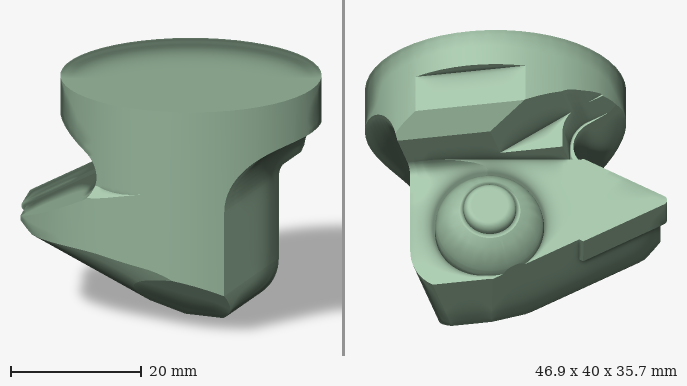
import cadquery as cq
import math

HEAD_DIAMETER = 40.0
HEAD_HEIGHT = 35.65
HEAD_RADIUS = HEAD_DIAMETER / 2
BIG = 2 * HEAD_DIAMETER

SKEW_ANGLE = 12.5
HALF_NOSE_ANGLE = 27.5
INSERT_HALF_LENGTH = 13.75
INSERT_HALF_HEIGHT = INSERT_HALF_LENGTH * math.tan(math.radians(HALF_NOSE_ANGLE))
INSERT_THICKNESS = 6.5
NOSE_RADIUS = 0.8
NOSE_APEX_U = -27.15
NOSE_Z = -21.95
RAKE_N = -5.9
SEAT_N = RAKE_N + INSERT_THICKNESS

WEDGE_SETBACK = 1.25
WEDGE_APEX_U = NOSE_APEX_U + WEDGE_SETBACK
WEDGE_LAND = 0.65

BULGE_RADIUS = 23.45
BULGE_CENTER_X = -5.85
BULGE_TOP_Z = -13.55
BULGE_END_X = -23.8
SHOULDER_END_X = -7.95

GROOVE_RADIUS = 8.0 / 2
GROOVE_U = -15.9

BACK_X = 12.05
BACK_FILLET = 9.3
BACK_FILLET_Z = -16.08
TOE_RADIUS = 7.2
TOE_START_X = 8.55

CHIP_WALL_Y = 6.05
CHIP_ROOF_Z = -14.95
CHIP_FILLET = 1.7
FLANGE_Y = 18.05
FLANGE_Z = -5.9
ROOF_CHAMFER = 3.15

THROAT_Y = 2.35
THROAT_X = -12.2
THROAT_ROOF_X = -15.45
THROAT_ROOF_Z = -8.05
THROAT_SLOPE = 0.4
THROAT_ARC_END_Z = -11.85
THROAT_ARC_MIDDLE = (-13.12, -9.6)
SLOPE_START_Y = 7.75
SLOPE_EDGE_X = -18.5
SLOPE_EDGE_Z = -6.55

BEVEL_Y = -7.75
BEVEL_SLOPE = 0.747

FLANK_START = (10.12, 31.55)
FLANK_MIDDLE = (18.35, 25.9)
FLANK_FINISH = (20.6, 22.5)

CLAMP_U = 0.95
CLAMP_Z = -26.7
CLAMP_RADIUS = 8.35
CLAMP_SHOULDER_RADIUS = 4.7
CLAMP_SHOULDER = 5.4
CLAMP_ROOT = 3.75
BUTTON_RADIUS = 8.0 / 2
BUTTON_HEIGHT = 1.87
BUTTON_ROUND = 1.15
CLAMP_DOME_POINT = (7.5, 2.8)

skew = math.radians(SKEW_ANGLE)
nose = math.radians(HALF_NOSE_ANGLE)
U_AXIS = cq.Vector(math.cos(skew), math.sin(skew), 0)
N_AXIS = cq.Vector(math.sin(skew), -math.cos(skew), 0)


def insert_plane(n):
    """Plane at depth n, with local X along U and local Y along Z."""
    return cq.Workplane(cq.Plane(N_AXIS * n, U_AXIS, N_AXIS))


def make_insert():
    """Rhombic indexable insert."""
    center_u = NOSE_APEX_U + INSERT_HALF_LENGTH
    outline = [
        (NOSE_APEX_U, NOSE_Z),
        (center_u, NOSE_Z - INSERT_HALF_HEIGHT),
        (center_u + INSERT_HALF_LENGTH, NOSE_Z),
        (center_u, NOSE_Z + INSERT_HALF_HEIGHT),
    ]
    blank = insert_plane(RAKE_N).polyline(outline).close().extrude(INSERT_THICKNESS)
    nose_edge = cq.selectors.NearestToPointSelector(
        (U_AXIS * NOSE_APEX_U + N_AXIS * ((RAKE_N + SEAT_N) / 2) + cq.Vector(0, 0, NOSE_Z)).toTuple()
    )
    return blank.edges(nose_edge).fillet(NOSE_RADIUS)


def shoulder_cutter():
    """45 degree slope falling outward from the top of the bulge, over a chord of the shank."""
    chord_y = -math.sqrt(HEAD_RADIUS**2 - SHOULDER_END_X**2)
    root = cq.Vector(0, -HEAD_RADIUS, BULGE_TOP_Z)
    chord = cq.Vector(SHOULDER_END_X, chord_y + HEAD_RADIUS, 0).normalized()
    outward = chord.cross(cq.Vector(0, 0, 1)) * -1
    return (
        cq.Workplane(cq.Plane(root - chord * BIG, outward, chord))
        .polyline([(0, 0), (BIG, BIG), (BIG, -BIG)])
        .close().extrude(2 * BIG)
    )


def make_blank():
    """Shank cylinder with the side bulge."""
    shank = cq.Workplane("XY").circle(HEAD_RADIUS).extrude(-HEAD_HEIGHT)
    arc_center_y = BULGE_RADIUS - HEAD_RADIUS
    end_y = arc_center_y - math.sqrt(BULGE_RADIUS**2 - (BULGE_END_X - BULGE_CENTER_X)**2)
    mid = math.asin((BULGE_CENTER_X - BULGE_END_X) / BULGE_RADIUS) / 2
    arc_mid = (BULGE_CENTER_X - BULGE_RADIUS * math.sin(mid), arc_center_y - BULGE_RADIUS * math.cos(mid))
    rake_end_n = RAKE_N * N_AXIS.y
    run = (rake_end_n - end_y) / math.cos(skew)
    tip_x = BULGE_END_X - run * math.sin(skew)
    bulge = (
        cq.Workplane("XY").workplane(offset=-HEAD_HEIGHT)
        .moveTo(0, -HEAD_RADIUS)
        .lineTo(BULGE_CENTER_X, -HEAD_RADIUS)
        .threePointArc(arc_mid, (BULGE_END_X, end_y))
        .lineTo(tip_x, rake_end_n)
        .lineTo(0, rake_end_n)
        .close().extrude(HEAD_HEIGHT + BULGE_TOP_Z)
    )
    return shank.union(bulge.cut(shoulder_cutter()))


def wedge_cutters():
    """Space below the lower wedge face and the groove above the upper one."""
    slope = math.tan(nose)
    below = (
        insert_plane(-BIG)
        .polyline([(-BIG, NOSE_Z), (WEDGE_APEX_U, NOSE_Z), (BIG, NOSE_Z - slope * (BIG - WEDGE_APEX_U)),
                   (-BIG, NOSE_Z - slope * (BIG - WEDGE_APEX_U))])
        .close().extrude(2 * BIG)
    )
    sin, cos = math.sin(nose), math.cos(nose)
    groove_z = NOSE_Z + slope * (GROOVE_U - WEDGE_APEX_U) + GROOVE_RADIUS / cos
    roof = (GROOVE_U + GROOVE_RADIUS * sin, groove_z + GROOVE_RADIUS * cos)
    roof_far = (-BIG, roof[1] + slope * (BIG + roof[0]))
    lip = (GROOVE_U + GROOVE_RADIUS * sin, groove_z - GROOVE_RADIUS * cos)
    above = (
        insert_plane(-BIG)
        .moveTo(-BIG, NOSE_Z).lineTo(WEDGE_APEX_U, NOSE_Z).lineTo(*lip)
        .threePointArc((GROOVE_U + GROOVE_RADIUS, groove_z), roof)
        .lineTo(*roof_far).close().extrude(2 * BIG)
    )
    tip_u = WEDGE_APEX_U + WEDGE_LAND / 2 / slope
    tip = insert_plane(-BIG).center(tip_u - BIG / 2, NOSE_Z).rect(BIG, 2 * WEDGE_LAND).extrude(2 * BIG)
    return below, above, tip


def back_cutter():
    """Relief on +X with a filleted root and a rounded toe."""
    drop = math.sqrt(TOE_RADIUS**2 - (TOE_START_X - BACK_X + TOE_RADIUS)**2)
    toe_z = -HEAD_HEIGHT + drop
    diagonal = math.atan2(drop, TOE_START_X - BACK_X + TOE_RADIUS) / 2
    toe_mid = (BACK_X - TOE_RADIUS * (1 - math.cos(diagonal)), toe_z - TOE_RADIUS * math.sin(diagonal))
    return (
        cq.Workplane("XZ").workplane(offset=-BIG)
        .moveTo(TOE_START_X, -HEAD_HEIGHT)
        .threePointArc(toe_mid, (BACK_X, toe_z))
        .lineTo(BACK_X, BACK_FILLET_Z)
        .radiusArc((BACK_X + BACK_FILLET, BACK_FILLET_Z + BACK_FILLET), BACK_FILLET)
        .lineTo(BIG, BACK_FILLET_Z + BACK_FILLET).lineTo(BIG, -HEAD_HEIGHT)
        .close().extrude(2 * BIG)
    )


def chip_space_cutters():
    """Stepped opening on +Y, and the space in front of the rake face."""
    opening = (
        cq.Workplane("YZ").workplane(offset=-BIG)
        .moveTo(CHIP_WALL_Y, -BIG).lineTo(CHIP_WALL_Y, CHIP_ROOF_Z - CHIP_FILLET)
        .radiusArc((CHIP_WALL_Y + CHIP_FILLET, CHIP_ROOF_Z), CHIP_FILLET)
        .lineTo(FLANGE_Y - ROOF_CHAMFER, CHIP_ROOF_Z)
        .lineTo(FLANGE_Y, CHIP_ROOF_Z + ROOF_CHAMFER)
        .lineTo(FLANGE_Y, FLANGE_Z).lineTo(BIG, FLANGE_Z).lineTo(BIG, -BIG)
        .close().extrude(2 * BIG)
    )
    rake = insert_plane(RAKE_N - BIG).center(0, CHIP_ROOF_Z - BIG / 2).rect(2 * BIG, BIG).extrude(BIG)
    return opening, rake


def chip_throat_cutter():
    """Deeper rounded throat where the groove opens into the chip space."""
    return (
        cq.Workplane("XZ").workplane(offset=-BIG)
        .moveTo(-BIG, THROAT_ROOF_Z + THROAT_SLOPE * (BIG + THROAT_ROOF_X))
        .lineTo(THROAT_ROOF_X, THROAT_ROOF_Z)
        .threePointArc(THROAT_ARC_MIDDLE, (THROAT_X, THROAT_ARC_END_Z))
        .lineTo(THROAT_X, CHIP_ROOF_Z).lineTo(-BIG, CHIP_ROOF_Z)
        .close().extrude(BIG - THROAT_Y)
    )


def chip_slope_cutter():
    """Sloping roof of the chip space, as steep as the wedge."""
    slope = math.tan(nose)
    foot_x = SLOPE_EDGE_X + (SLOPE_EDGE_Z - CHIP_ROOF_Z) / slope
    return (
        cq.Workplane("XZ").workplane(offset=-BIG)
        .polyline([(foot_x, CHIP_ROOF_Z), (-BIG, CHIP_ROOF_Z + slope * (foot_x + BIG)), (-BIG, CHIP_ROOF_Z)])
        .close().extrude(BIG - SLOPE_START_Y)
    )


def bevel_cutter():
    """Flat bevel across the lower -Y edge."""
    return (
        cq.Workplane("YZ").workplane(offset=-BIG)
        .polyline([(BEVEL_Y, -HEAD_HEIGHT), (-BIG, -HEAD_HEIGHT + BEVEL_SLOPE * (BIG + BEVEL_Y)),
                   (-BIG, -HEAD_HEIGHT)])
        .close().extrude(2 * BIG)
    )


def underside_cutter():
    """Convex relief running parallel to the lower wedge face."""
    down = cq.Vector(-U_AXIS.x * math.sin(nose), -U_AXIS.y * math.sin(nose), -math.cos(nose))
    along = N_AXIS.cross(down)
    return (
        cq.Workplane(cq.Plane(along * -BIG, N_AXIS, along))
        .moveTo(*FLANK_START).threePointArc(FLANK_MIDDLE, FLANK_FINISH)
        .lineTo(BIG, FLANK_FINISH[1]).lineTo(BIG, BIG).lineTo(FLANK_START[0], BIG)
        .close().extrude(2 * BIG)
    )


def make_clamp():
    """Domed clamp boss with a round button, standing out from the rake face."""
    button_end = CLAMP_SHOULDER + BUTTON_HEIGHT
    center = U_AXIS * CLAMP_U + N_AXIS * RAKE_N + cq.Vector(0, 0, CLAMP_Z)
    profile = (
        cq.Workplane(cq.Plane(center, U_AXIS, (0, 0, 1)))
        .moveTo(0, -CLAMP_ROOT).lineTo(CLAMP_RADIUS, -CLAMP_ROOT).lineTo(CLAMP_RADIUS, 0)
        .threePointArc(CLAMP_DOME_POINT, (CLAMP_SHOULDER_RADIUS, CLAMP_SHOULDER))
        .lineTo(BUTTON_RADIUS, CLAMP_SHOULDER).lineTo(BUTTON_RADIUS, button_end - BUTTON_ROUND)
        .radiusArc((BUTTON_RADIUS - BUTTON_ROUND, button_end), -BUTTON_ROUND)
        .lineTo(0, button_end).close()
    )
    return profile.revolve(360, (0, 0), (0, 1))


def make_holder(seated_insert):
    """Cutter head with all reliefs and a pocket matching the insert."""
    below, above, tip = wedge_cutters()
    opening, rake = chip_space_cutters()
    holder = make_blank().cut(opening).cut(rake).cut(chip_slope_cutter()).union(make_clamp())
    reliefs = (chip_throat_cutter(), back_cutter(), bevel_cutter(), underside_cutter())
    for cutter in (below, above, tip, *reliefs):
        holder = holder.cut(cutter)
    return holder.cut(seated_insert)


insert = make_insert()
holder = make_holder(insert)
result = cq.Compound.makeCompound([holder.val(), insert.val()])